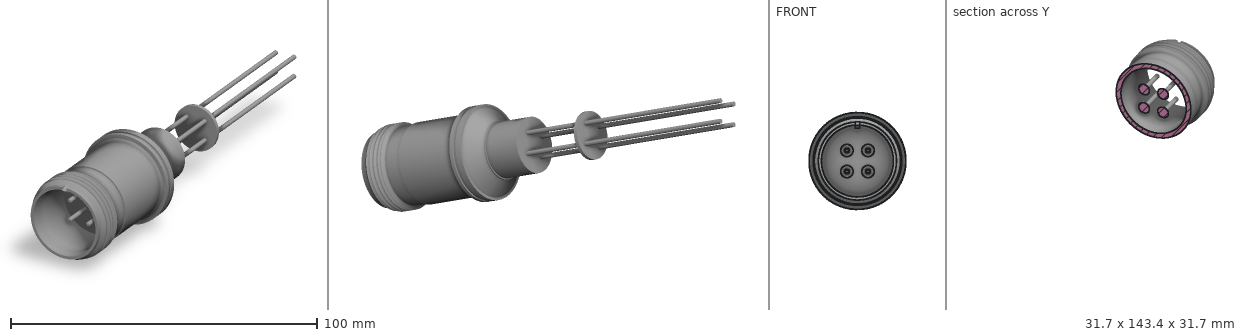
import cadquery as cq

total_length = 143.4

rim_y = 0.3
rim_radius = 12.8
rim_length = 1.7
rim_end_y = rim_y + rim_length
bore_radius = 11.8
bore_floor_y = 20.0

thread_end_y = 10.6
thread_root_radius = 13.2
thread_crest_radius = 14.5
thread_pitch = 1.7
thread_ring_count = 3
runout_crest_y = 9.7
lead_in = 1.3
first_crest_radius = rim_radius + lead_in
first_crest_y = rim_end_y + lead_in
last_crest_y = first_crest_y + thread_ring_count * thread_pitch

shoulder_y = 16.6
body_radius = 13.6
body_end_y = 38.7
flange_taper = 0.9
flange_diameter = 31.7
flange_radius = flange_diameter / 2
flange_groove_radius = 15.3
front_flange_y = body_end_y + flange_taper
groove_start_y = 40.9
groove_end_y = 42.1
flange_end_y = 44.3

cone_large_radius = 14.9
cone_small_radius = 9.7
cone_end_y = 49.2
cone_lip = 0.6
rear_radius = 9.3
rear_y = 62.5

wire_offset = 3.5
wire_radius = 0.79
pin_tip_y = 9.5
pin_tip_chamfer = 0.3
collar_radius = 2.0
collar_height = 0.7
spacer_radius = 8.0
spacer_thickness = 1.3
spacer_y = 85.5

key_width = 1.5
key_ridge_z = 11.6
key_bottom_z = 10.6
key_nose_length = 1.7
key_end_y = 5.7


def rod(radius, start_y, end_y, x=0.0, z=0.0):
    """Round bar along Y, from start_y to end_y."""
    return cq.Workplane("XZ", origin=(x, start_y, z)).circle(radius).extrude(start_y - end_y)


def make_shell():
    """Outer shell turned about the Y axis."""
    outline = [
        (0, rim_y),
        (rim_radius, rim_y),
        (rim_radius, rim_end_y),
        (first_crest_radius, first_crest_y),
    ]
    for ring in range(1, thread_ring_count + 1):
        crest_y = first_crest_y + ring * thread_pitch
        outline.append((thread_root_radius, crest_y - thread_pitch / 2))
        outline.append((thread_crest_radius, crest_y))
    outline += [
        (thread_root_radius, (last_crest_y + runout_crest_y) / 2),
        (thread_crest_radius, runout_crest_y),
        (thread_root_radius, thread_end_y),
        (thread_root_radius, shoulder_y),
        (body_radius, shoulder_y),
        (body_radius, body_end_y),
        (body_radius + flange_taper, front_flange_y),
        (flange_radius, front_flange_y),
        (flange_radius, groove_start_y),
        (flange_groove_radius, groove_start_y),
        (flange_groove_radius, groove_end_y),
        (flange_radius, groove_end_y),
        (flange_radius, flange_end_y),
        (cone_large_radius, flange_end_y),
        (cone_small_radius, cone_end_y),
        (cone_small_radius, cone_end_y + cone_lip),
        (rear_radius, cone_end_y + cone_lip),
        (rear_radius, rear_y),
        (0, rear_y),
    ]
    solid = cq.Workplane("XY").polyline(outline).close().revolve(360, (0, 0, 0), (0, 1, 0))
    return solid.cut(rod(bore_radius, rim_y, bore_floor_y))


def key_prism(profile):
    """Extrude a (Y, Z) profile across the width of the key."""
    return cq.Workplane("YZ").polyline(profile).close().extrude(key_width / 2, both=True)


def add_key(shell):
    """Cut the rim away in front of the key's upper ramp, then add the key."""
    ridge = (0, key_ridge_z)
    ramp_top = (rim_end_y, rim_radius)
    notch = key_prism([ridge, ramp_top, (0, rim_radius)])
    key = key_prism(
        [
            ridge,
            ramp_top,
            (key_end_y, rim_radius),
            (key_end_y, key_bottom_z),
            (key_nose_length, key_bottom_z),
        ]
    )
    return shell.cut(notch).union(key)


def make_contact(x, z):
    """Lead wire with a chamfered pin tip and a collar on the socket floor."""
    wire = rod(wire_radius, pin_tip_y, total_length, x, z).faces("<Y").chamfer(pin_tip_chamfer)
    return wire.union(rod(collar_radius, bore_floor_y - collar_height, bore_floor_y, x, z))


result = add_key(make_shell())
result = result.union(rod(spacer_radius, spacer_y, spacer_y + spacer_thickness))
for contact_x in (-wire_offset, wire_offset):
    for contact_z in (-wire_offset, wire_offset):
        result = result.union(make_contact(contact_x, contact_z))